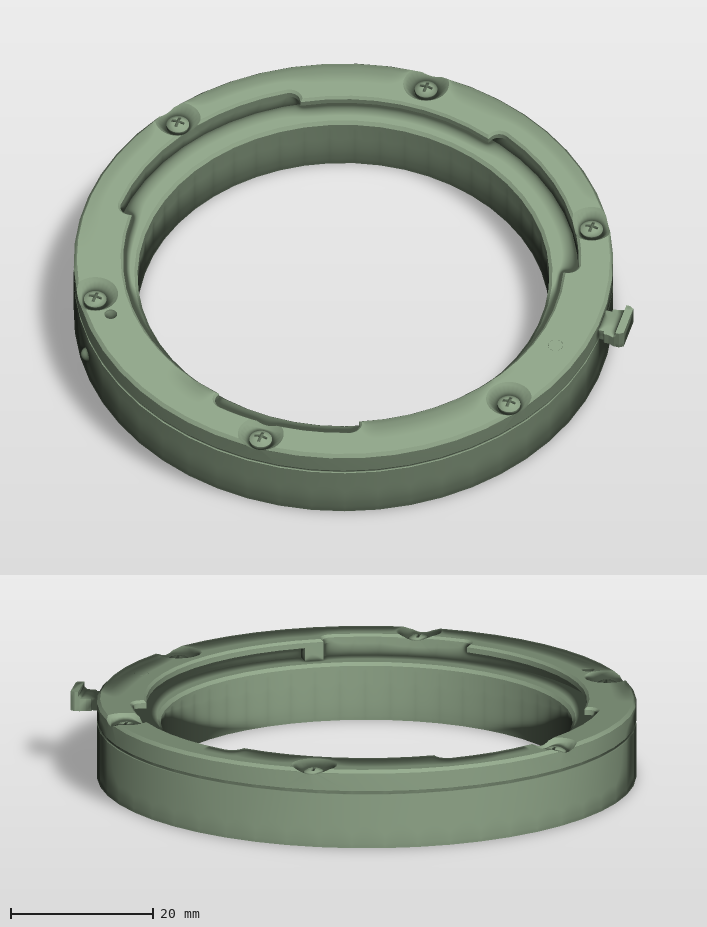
import cadquery as cq
import math

outer_diameter = 76.0
bore_diameter = 58.0
total_height = 11.35
plate_thickness = 3.0
plate_bottom = total_height - plate_thickness
outer_radius = outer_diameter / 2

groove_height = 0.5
groove_depth = 0.3
bore_chamfer = 0.45
plate_outer_chamfer = 0.45

lug_radius = 31.05
slot_radius = 33.15
lug_thickness = 1.1
stop_sweep = 5
slot_corner_radius = 1.5
slot_overlap = 1.0
bayonet_chamfer = 0.35
slot_spans = [(14.8, 67.9), (120.3, 182.8), (254.8, 293.2)]
stop_start = slot_spans[-1][1]

screw_count = 6
screw_circle_radius = 35.6
screw_start_angle = 90
countersink_diameter = 6.45
head_diameter = 3.2
seat_depth = (countersink_diameter - head_diameter) / 2
seat_height = total_height - seat_depth
head_rim_height = 0.55
head_dome_height = 0.6
shank_diameter = 1.4
shank_length = 5.0
cross_span = 1.9
cross_width = 0.45
cross_depth = 0.6

index_angle = 217.1
dimple_diameter = 1.8
dimple_circle_radius = 34.45
ball_diameter = 2.05
ball_circle_radius = 37.8
ball_height = 4.25

lever_angle = 2.8
lever_reach = 41.83
lever_thickness = 1.75
neck_width = 3.95
neck_end = 38.85
pad_width = 5.0
pad_corner_radius = 0.25
tab_width = 5.6
flare_start = 39.6
flare_end = 40.5
tab_start = 40.35
tab_top = total_height - 0.2
tab_foot = 0.35
tab_chamfer_length = 0.6
tab_chamfer_width = 0.4
pin_angle = -10
pin_circle_radius = 34.2
pin_diameter = 2.05
pin_hole_diameter = 2.1


def polar(radius, angle):
    """Point at a radius and an angle in degrees about the ring axis."""
    return (radius * math.cos(math.radians(angle)), radius * math.sin(math.radians(angle)))


def disc(radius, bottom, height):
    """Cylinder on the ring axis."""
    return cq.Workplane("XY").workplane(offset=bottom).circle(radius).extrude(height)


def ring_sector(inner_radius, sector_radius, start, end, bottom, height):
    """Part of a flat ring between two angles."""
    middle = (start + end) / 2
    return (
        cq.Workplane("XY")
        .workplane(offset=bottom)
        .moveTo(*polar(inner_radius, start))
        .lineTo(*polar(sector_radius, start))
        .threePointArc(polar(sector_radius, middle), polar(sector_radius, end))
        .lineTo(*polar(inner_radius, end))
        .threePointArc(polar(inner_radius, middle), polar(inner_radius, start))
        .close()
        .extrude(height)
    )


def at_screws(shape):
    """Copies of a shape, modelled on the ring axis, moved to each place on the screw circle."""
    angles = [screw_start_angle + i * 360 / screw_count for i in range(screw_count)]
    return [shape.translate((*polar(screw_circle_radius, angle), 0)) for angle in angles]


def make_screw():
    """Domed cross-recess screw."""
    head_radius = head_diameter / 2
    shank_radius = shank_diameter / 2
    rim_top = seat_height + head_rim_height
    dome_top = rim_top + head_dome_height
    dome_radius = (head_radius**2 + head_dome_height**2) / (2 * head_dome_height)
    arc_x = head_radius / 2
    arc_z = dome_top - dome_radius + math.sqrt(dome_radius**2 - arc_x**2)
    body = (
        cq.Workplane("XZ")
        .moveTo(0, seat_height - shank_length)
        .lineTo(shank_radius, seat_height - shank_length)
        .lineTo(shank_radius, seat_height)
        .lineTo(head_radius, seat_height)
        .lineTo(head_radius, rim_top)
        .threePointArc((arc_x, arc_z), (0, dome_top))
        .close()
        .revolve(360, (0, 0, 0), (0, 1, 0))
    )
    recess = cq.Workplane("XY").workplane(offset=dome_top - cross_depth)
    body = body.cut(recess.rect(cross_span, cross_width).extrude(cross_depth))
    return body.cut(recess.rect(cross_width, cross_span).extrude(cross_depth))


def pin_cylinder(diameter, height):
    """Upright cylinder on the axis of the locking pin."""
    center = polar(pin_circle_radius, pin_angle)
    return disc(diameter / 2, plate_bottom, height).translate((*center, 0))


def make_lever_arm():
    """Hidden arm of the lever, from the pin to the neck, with the neck itself."""
    arm_half_width = pin_diameter / 2
    arm = ring_sector(
        pin_circle_radius - arm_half_width,
        pin_circle_radius + arm_half_width,
        pin_angle,
        lever_angle,
        plate_bottom,
        lever_thickness,
    )
    pin_end = pin_cylinder(pin_diameter, lever_thickness)
    neck_length = neck_end - pin_circle_radius
    neck = (
        cq.Workplane("XY")
        .box(neck_length, neck_width, lever_thickness, centered=(False, True, False))
        .translate((pin_circle_radius, 0, plate_bottom))
        .rotate((0, 0, 0), (0, 0, 1), lever_angle)
    )
    return arm.union(pin_end).union(neck)


def make_lever():
    """Release lever: finger tab, pad, neck, arm and locking pin."""
    pad_top = plate_bottom + lever_thickness
    side_profile = (
        cq.Workplane("XZ")
        .moveTo(neck_end, plate_bottom)
        .lineTo(lever_reach, plate_bottom)
        .lineTo(lever_reach, tab_top)
        .lineTo(tab_start + tab_foot, tab_top)
        .lineTo(tab_start + tab_foot, pad_top + tab_foot)
        .lineTo(tab_start, pad_top)
        .lineTo(neck_end, pad_top)
        .close()
        .extrude(tab_width / 2, both=True)
    )
    half_pad = pad_width / 2
    half_tab = tab_width / 2
    outline = (
        cq.Workplane("XY")
        .workplane(offset=plate_bottom)
        .moveTo(neck_end, 0)
        .lineTo(neck_end, half_pad)
        .lineTo(flare_start, half_pad)
        .lineTo(flare_end, half_tab)
        .lineTo(lever_reach - tab_chamfer_length, half_tab)
        .lineTo(lever_reach, half_tab - tab_chamfer_width)
        .lineTo(lever_reach, 0)
        .mirrorX()
        .extrude(plate_thickness)
        .edges("|Z and <X")
        .fillet(pad_corner_radius)
    )
    finger = side_profile.intersect(outline).rotate((0, 0, 0), (0, 0, 1), lever_angle)
    pin = pin_cylinder(pin_diameter, plate_thickness)
    return make_lever_arm().union(finger).union(pin)


def make_base():
    """Lower ring with a recessed rim, screw holes and the index ball on its side."""
    base = disc(outer_radius, 0, plate_bottom - groove_height)
    base = base.union(disc(outer_radius - groove_depth, 0, plate_bottom))
    base = base.cut(disc(bore_diameter / 2, 0, plate_bottom))
    base = base.faces(">Z").edges(cq.selectors.RadiusNthSelector(0)).chamfer(bore_chamfer)
    x, y = polar(ball_circle_radius, index_angle)
    base = base.union(cq.Workplane("XY").sphere(ball_diameter / 2).translate((x, y, ball_height)))
    for hole in at_screws(disc(shank_diameter / 2, seat_height - shank_length, shank_length)):
        base = base.cut(hole)
    return base


def make_bayonet_opening():
    """Void of the plate opening: a round hole with three round-cornered slots."""
    opening = disc(lug_radius, plate_bottom, plate_thickness)
    overlap_radius = lug_radius - slot_overlap
    for start, end in slot_spans:
        slot = ring_sector(overlap_radius, slot_radius, start, end, plate_bottom, plate_thickness)
        middle = polar(slot_radius, (start + end) / 2)
        corners = [polar(slot_radius, start), polar(slot_radius, end)]
        for corner in corners:
            nearest = cq.selectors.NearestToPointSelector((*corner, plate_bottom + plate_thickness / 2))
            slot = slot.edges("|Z").edges(nearest).fillet(slot_corner_radius)
        opening = opening.union(slot)
    return opening


def make_plate():
    """Bayonet plate with undercut lugs, rotation stop, countersinks, index dimple and lever pocket."""
    plate = disc(outer_radius, plate_bottom, plate_thickness)
    plate = plate.faces(">Z").edges().chamfer(plate_outer_chamfer)
    plate = plate.cut(make_bayonet_opening())
    rim_reach = (slot_radius + outer_radius - plate_outer_chamfer) / 2
    opening_edges = cq.selectors.BoxSelector(
        (-rim_reach, -rim_reach, plate_bottom),
        (rim_reach, rim_reach, total_height + plate_thickness),
        boundingbox=True,
    )
    plate = plate.faces(">Z").edges(opening_edges).chamfer(bayonet_chamfer)
    undercut_height = plate_thickness - lug_thickness
    undercut = disc(slot_radius, plate_bottom, undercut_height)
    stop_end = stop_start + stop_sweep
    stop = ring_sector(lug_radius, outer_radius, stop_start, stop_end, plate_bottom, undercut_height)
    plate = plate.cut(undercut.cut(stop))

    cone = cq.Workplane(
        cq.Solid.makeCone(
            head_diameter / 2, countersink_diameter / 2, seat_depth, pnt=(0, 0, seat_height), dir=(0, 0, 1)
        )
    )
    screw_hole = cone.union(disc(shank_diameter / 2, plate_bottom, plate_thickness))
    for hole in at_screws(screw_hole):
        plate = plate.cut(hole)

    x, y = polar(dimple_circle_radius, index_angle)
    plate = plate.cut(cq.Workplane("XY").sphere(dimple_diameter / 2).translate((x, y, total_height)))

    pin_hole = pin_cylinder(pin_hole_diameter, plate_thickness)
    return plate.cut(make_lever_arm()).cut(pin_hole)


base = make_base()
plate = make_plate()
lever = make_lever()
screws = at_screws(make_screw())

result = cq.Compound.makeCompound(
    [base.val(), plate.val(), lever.val(), *[screw.val() for screw in screws]]
)